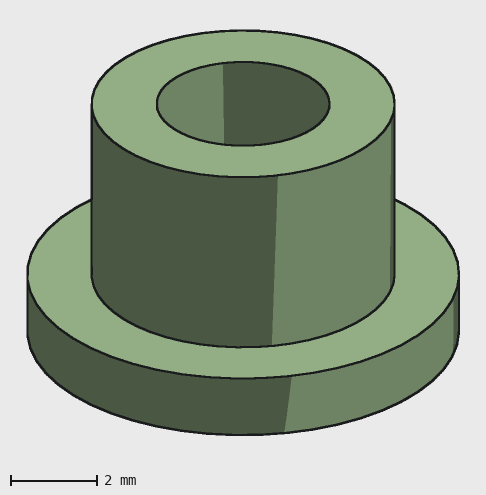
import cadquery as cq

flange_diameter = 10
flange_thickness = 1.5
sleeve_diameter = 7.02
bore_diameter = 4
total_height = 6

flange = cq.Workplane("XY").circle(flange_diameter / 2).extrude(flange_thickness)
sleeve = cq.Workplane("XY").circle(sleeve_diameter / 2).extrude(total_height)
bore = cq.Workplane("XY").circle(bore_diameter / 2).extrude(total_height)

result = flange.union(sleeve).cut(bore)